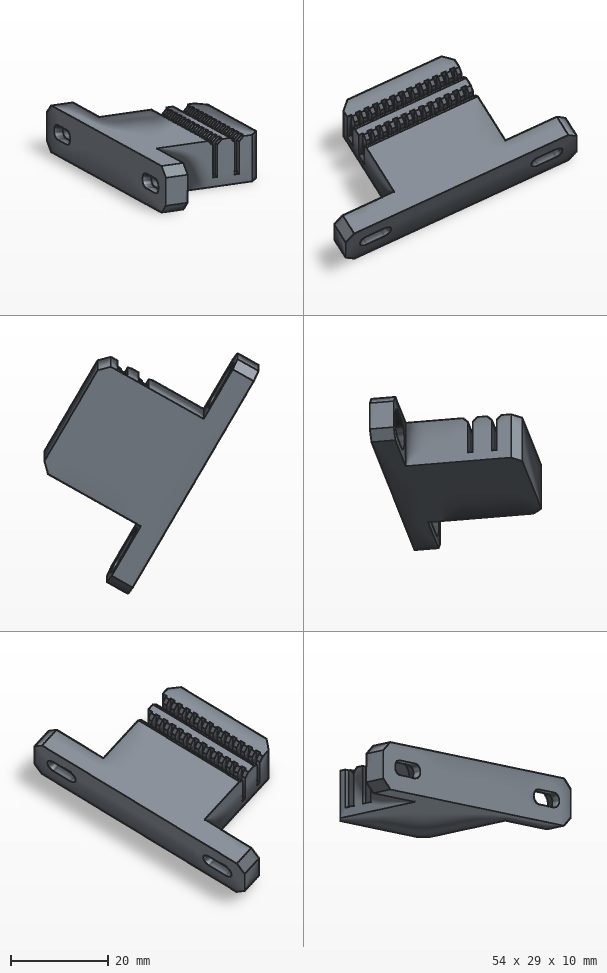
import cadquery as cq

flange_length = 54.0
height = 10.0
total_depth = 29.0
module = flange_length / 54

flange_thickness = 5 * module
corner_chamfer = 2 * module
slot_spacing = 4.15
slot_width = 3.15
counterbore_width = 6.5
counterbore_depth = 3 * module
slot_inset = 7 * module

block_width = 26 * module

floor_height = 2 * module
groove_width = module
lip_chamfer = module
recess_depth = 1.4
tooth_width = module
tooth_pitch = 2 * tooth_width
tooth_count = round(block_width / tooth_pitch)
groove_fronts = (18 * module, 23 * module)


def make_slots(width, start):
    """Pair of round-ended cutters from Y = start to the rear face of the flange."""
    offset = flange_length / 2 - slot_inset
    return (
        cq.Workplane("XZ", origin=(0, start, height / 2))
        .pushPoints([(-offset, 0), (offset, 0)])
        .slot2D(slot_spacing + width, width)
        .extrude(start - flange_thickness)
    )


def make_flange():
    """Bevelled plate with a mounting slot near each end, counterbored from the rear."""
    plate = (
        cq.Workplane("XY")
        .box(flange_length, flange_thickness, height, centered=(True, False, False))
        .edges("|Y")
        .chamfer(corner_chamfer)
    )
    slots = make_slots(slot_width, 0)
    counterbores = make_slots(counterbore_width, flange_thickness - counterbore_depth)
    return plate.cut(slots).cut(counterbores)


def make_block():
    """Block running back from the flange, bevelled at its two rear corners."""
    return (
        cq.Workplane("XY")
        .box(block_width, total_depth - flange_thickness, height, centered=(True, False, False))
        .translate((0, flange_thickness, 0))
        .edges("|Z and >Y")
        .chamfer(corner_chamfer)
    )


def make_groove(front):
    """Cutter for one groove with flared lips and recesses between its teeth."""
    back = front + groove_width
    lip_height = height - lip_chamfer
    groove = (
        cq.Workplane("YZ")
        .moveTo(front, floor_height)
        .lineTo(back, floor_height)
        .lineTo(back, lip_height)
        .lineTo(back + lip_chamfer, height)
        .lineTo(front - lip_chamfer, height)
        .lineTo(front, lip_height)
        .close()
        .extrude(block_width / 2, both=True)
    )
    recess_width = tooth_pitch - tooth_width
    for index in range(tooth_count):
        recess = cq.Workplane("XY").box(
            recess_width, groove_width + recess_depth, height - floor_height, centered=False
        )
        recess_left = index * tooth_pitch - block_width / 2
        groove = groove.union(recess.translate((recess_left, front, floor_height)))
    return groove


result = make_flange().union(make_block())
for groove_front in groove_fronts:
    result = result.cut(make_groove(groove_front))